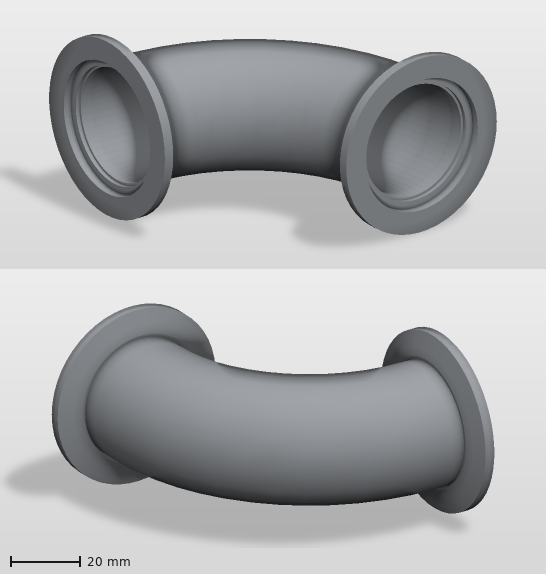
import cadquery as cq

overall = 92.5
flange_diameter = 55.0
port_offset = overall - flange_diameter / 2

rim_thickness = 3.05
flange_thickness = 5.0
hub_diameter = 40.1
recess_diameter = 41.2
recess_depth = 2.6
bore_diameter = 36.4
socket_diameter = 38.4
socket_start = 3.9

tube_outer_diameter = 38.1
tube_inner_diameter = 35.0
bend_start = 8.7
bend_radius = port_offset - bend_start

port_center = flange_diameter / 2
front_port = cq.Plane(origin=(port_center, 0, 0), xDir=(1, 0, 0), normal=(0, 0, 1))
side_port = cq.Plane(origin=(overall, port_offset, 0), xDir=(0, 1, 0), normal=(0, 0, 1))


def make_flange(port):
    """Flange with a tapered back, stepped from recess to bore to tube socket."""
    half_section = [
        (recess_diameter / 2, 0),
        (flange_diameter / 2, 0),
        (flange_diameter / 2, rim_thickness),
        (hub_diameter / 2, flange_thickness),
        (socket_diameter / 2, flange_thickness),
        (socket_diameter / 2, socket_start),
        (bore_diameter / 2, socket_start),
        (bore_diameter / 2, recess_depth),
        (recess_diameter / 2, recess_depth),
    ]
    return cq.Workplane(port).polyline(half_section).close().revolve(360, (0, 0), (0, 1))


def make_tube():
    """Bent tube with a short straight length at each end, seated in the sockets."""
    path = (
        cq.Workplane("XY")
        .moveTo(port_center, socket_start)
        .lineTo(port_center, bend_start)
        .radiusArc((overall - bend_start, port_offset), bend_radius)
        .lineTo(overall - socket_start, port_offset)
    )
    return (
        cq.Workplane("XZ", origin=(port_center, socket_start, 0))
        .circle(tube_outer_diameter / 2)
        .circle(tube_inner_diameter / 2)
        .sweep(path)
    )


flanges = [make_flange(port) for port in (front_port, side_port)]
tube = make_tube()

result = cq.Compound.makeCompound([tube.val(), *[flange.val() for flange in flanges]])